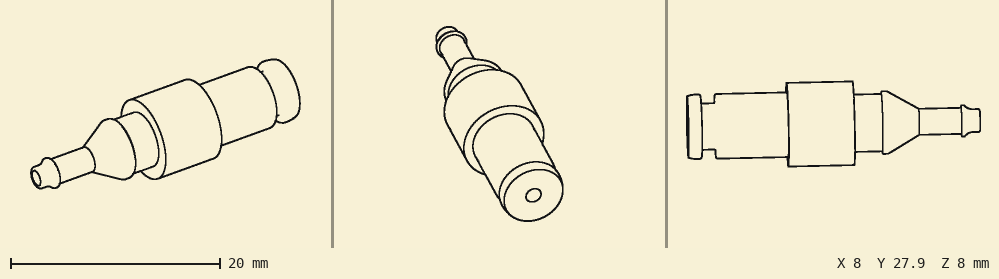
import cadquery as cq

bore_diameter = 1.5
tip_diameter = 2.2
barb_diameter = 3.0
tube_diameter = 2.5
flange_diameter = 6.0
neck_diameter = 5.5
collar_diameter = 8.0
body_diameter = 6.2
groove_diameter = 4.45
head_end_diameter = 5.9

tip_end = 0.7
barb_front = 1.5
barb_rear = 1.79
tube_end = 5.83
flange_front = 8.85
flange_rear = 9.37
collar_front = 12.08
collar_rear = 18.4
groove_front = 25.28
groove_rear = 26.62
head_dome_start = 27.12
length = 27.9

tip_round = 0.2
barb_round = 0.08
flange_round = 0.15
body_round = 0.2
groove_round = 0.2
head_round = 0.25


def is_corner(edge, distance, diameter):
    """Tell whether a circular edge has this diameter and distance from the tip."""
    tolerance = 0.0003
    same_place = abs(edge.arcCenter().y - distance) < tolerance
    same_size = abs(edge.radius() - diameter / 2) < tolerance
    return same_place and same_size


def turned_blank():
    """Revolve the stepped outer profile about the Y axis."""
    tip_radius = tip_diameter / 2
    barb_radius = barb_diameter / 2
    tube_radius = tube_diameter / 2
    flange_radius = flange_diameter / 2
    neck_radius = neck_diameter / 2
    collar_radius = collar_diameter / 2
    body_radius = body_diameter / 2
    groove_radius = groove_diameter / 2

    profile = (
        cq.Workplane("XY")
        .lineTo(tip_radius, 0)
        .lineTo(tip_radius, tip_end)
        .tangentArcPoint((barb_radius, barb_front), relative=False)
        .lineTo(barb_radius, barb_rear)
        .lineTo(tube_radius, barb_rear)
        .lineTo(tube_radius, tube_end)
        .lineTo(flange_radius, flange_front)
        .lineTo(flange_radius, flange_rear)
        .lineTo(neck_radius, flange_rear)
        .lineTo(neck_radius, collar_front)
        .lineTo(collar_radius, collar_front)
        .lineTo(collar_radius, collar_rear)
        .lineTo(body_radius, collar_rear)
        .lineTo(body_radius, groove_front)
        .lineTo(groove_radius, groove_front)
        .lineTo(groove_radius, groove_rear)
        .lineTo(body_radius, groove_rear)
        .lineTo(body_radius, head_dome_start)
        .tangentArcPoint((head_end_diameter / 2, length), relative=False)
        .lineTo(0, length)
        .close()
    )
    return profile.revolve(360, (0, 0), (0, 1))


def round_edges(part):
    """Round the turned corners, one circular edge at a time."""
    roundings = [
        (0, tip_diameter, tip_round),
        (barb_front, barb_diameter, barb_round),
        (barb_rear, barb_diameter, barb_round),
        (flange_front, flange_diameter, flange_round),
        (flange_rear, flange_diameter, flange_round),
        (groove_front, body_diameter, body_round),
        (groove_front, groove_diameter, groove_round),
        (groove_rear, groove_diameter, groove_round),
        (groove_rear, body_diameter, head_round),
    ]
    for distance, diameter, radius in roundings:
        circles = part.edges("%CIRCLE").vals()
        corner = [edge for edge in circles if is_corner(edge, distance, diameter)]
        part = part.newObject(corner).fillet(radius)
    return part


def drill_bore(part):
    """Drill the bore through the whole length."""
    drill = cq.Solid.makeCylinder(
        bore_diameter / 2, length, cq.Vector(0, 0, 0), cq.Vector(0, 1, 0)
    )
    return part.cut(cq.Workplane(drill))


result = drill_bore(round_edges(turned_blank())).translate((0, -length / 2, 0))